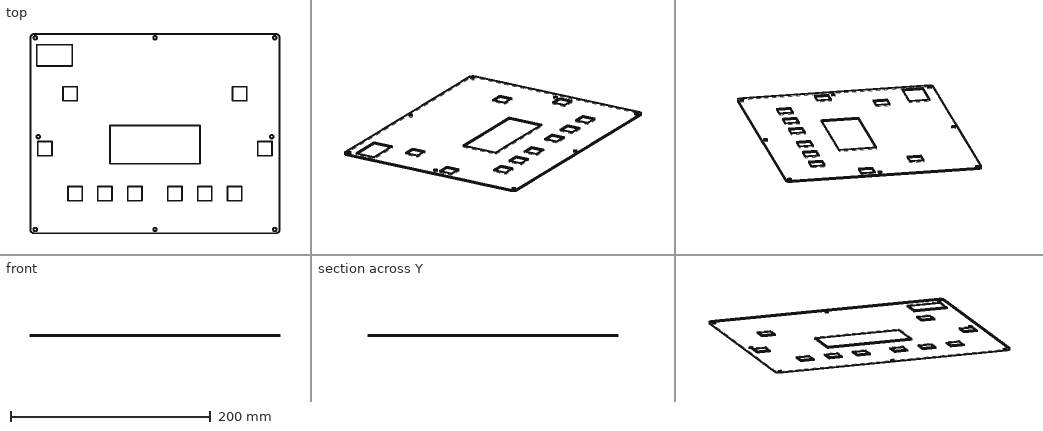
import cadquery as cq

plate_length = 249.98
plate_width = 199.97
plate_thickness = 1.5
corner_radius = 4.0

screw_diameter = 3.4
edge_screw_x = 120.0
edge_screw_y = 96.0
side_screw_x = 117.0
side_screw_y = -3.0

button_size = 14.0
button_centre_x = -0.15
upper_button_offset = 85.0
upper_button_y = 40.0
side_button_offset = 110.25
side_button_y = -15.0
row_button_first_offset = 20.0
row_button_pitch = 30.0
row_buttons_per_side = 3
row_button_y = -60.0

display_length = 90.0
display_width = 38.0
display_y = -11.0

window_length = 35.25
window_width = 21.0
window_x = -100.75
window_y = 78.5


def make_plate():
    """Flat plate with rounded corners, its underside at Z = 0."""
    plate = cq.Workplane("XY").box(
        plate_length, plate_width, plate_thickness, centered=(True, True, False)
    )
    return plate.edges("|Z").fillet(corner_radius)


def screw_positions():
    """Three holes along each long edge and one near each short edge."""
    edge_points = [
        (x, y)
        for x in (-edge_screw_x, 0, edge_screw_x)
        for y in (-edge_screw_y, edge_screw_y)
    ]
    side_points = [(x, side_screw_y) for x in (-side_screw_x, side_screw_x)]
    return edge_points + side_points


def button_positions():
    """Button centres, mirrored about the line X = button_centre_x."""
    right_half = [
        (upper_button_offset, upper_button_y),
        (side_button_offset, side_button_y),
    ]
    for i in range(row_buttons_per_side):
        offset = row_button_first_offset + i * row_button_pitch
        right_half.append((offset, row_button_y))
    return [(button_centre_x + side * offset, y) for offset, y in right_half for side in (-1, 1)]


def cut_rectangles(body, centres, length, width):
    """Cut rectangular openings through the plate."""
    tools = cq.Workplane("XY").pushPoints(centres).rect(length, width).extrude(plate_thickness)
    return body.cut(tools)


def cut_screw_holes(body):
    """Cut the round screw holes through the plate."""
    tools = cq.Workplane("XY").pushPoints(screw_positions()).circle(screw_diameter / 2)
    return body.cut(tools.extrude(plate_thickness))


result = make_plate()
result = cut_screw_holes(result)
result = cut_rectangles(result, button_positions(), button_size, button_size)
result = cut_rectangles(result, [(0, display_y)], display_length, display_width)
result = cut_rectangles(result, [(window_x, window_y)], window_length, window_width)